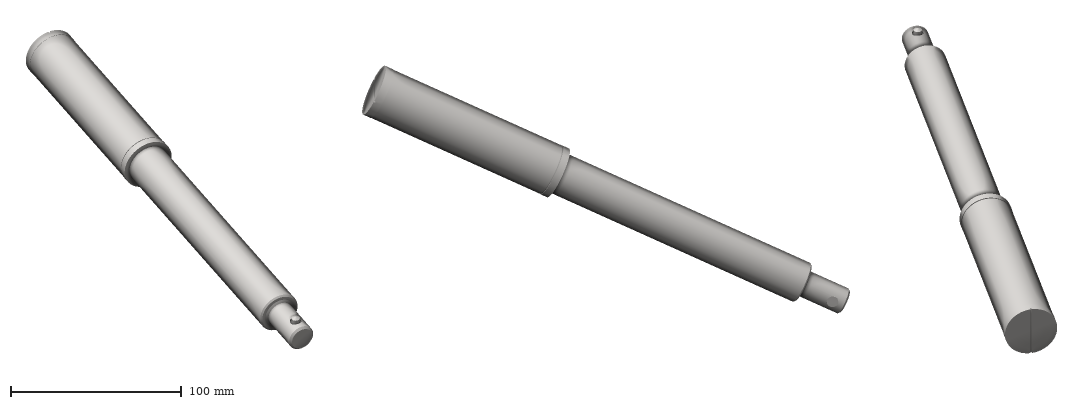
import cadquery as cq

total_length = 307.5
handle_length = 120.3
cap_length = 5.0
tube_end = 280.2

cap_diameter = 31.5
grip_diameter = 31.0
collar_groove_diameter = 30.0
tube_diameter = 25.0
shoulder_diameter = 19.0
spigot_diameter = 16.0

collar_groove_width = 0.5
tube_chamfer = 1.0
shoulder_length = 1.0
tip_chamfer = 1.2

slot_width = 1.0
slot_depth = 1.0

pin_x = 299.5
cross_hole_diameter = 6.8
pin_base_bottom = -7.7
pin_base_top = 6
pin_diameter = 5.0
pin_cone_start = 9.8
pin_tip = 11.0


def cylinder_x(start, end, diameter):
    """Solid cylinder on the X axis between two stations."""
    return cq.Workplane("YZ", origin=(start, 0, 0)).circle(diameter / 2).extrude(end - start)


def make_handle():
    """Grip with a slightly larger cap at each end, a groove at the collar and a slotted end face."""
    collar_start = handle_length - cap_length
    groove_end = collar_start + collar_groove_width
    end_cap = cylinder_x(0, cap_length, cap_diameter)
    grip = cylinder_x(0, collar_start, grip_diameter)
    groove_floor = cylinder_x(collar_start, groove_end, collar_groove_diameter)
    collar = cylinder_x(groove_end, handle_length, cap_diameter)
    slot = cq.Workplane("XY").box(2 * slot_depth, slot_width, 2 * cap_diameter)
    return grip.union(end_cap).union(groove_floor).union(collar).cut(slot)


def make_tube():
    """Long shaft in front of the handle, chamfered at its far end."""
    return cylinder_x(handle_length, tube_end, tube_diameter).faces(">X").chamfer(tube_chamfer)


def make_spigot():
    """Slim end piece with a tapered shoulder, a chamfered tip and a cross hole along Z."""
    spigot = cylinder_x(tube_end, total_length, spigot_diameter).faces(">X").chamfer(tip_chamfer)
    shoulder = (
        cq.Workplane("YZ", origin=(tube_end, 0, 0))
        .circle(shoulder_diameter / 2)
        .workplane(offset=shoulder_length)
        .circle(spigot_diameter / 2)
        .loft()
    )
    cross_hole = (
        cq.Workplane("XY")
        .center(pin_x, 0)
        .circle(cross_hole_diameter / 2)
        .extrude(spigot_diameter, both=True)
    )
    return spigot.union(shoulder).cut(cross_hole)


def make_pin():
    """Pin whose base fills the cross hole and whose slimmer, cone-tipped end stands out on +Z."""
    base_radius = cross_hole_diameter / 2
    pin_radius = pin_diameter / 2
    half_section = [
        (0, pin_base_bottom),
        (base_radius, pin_base_bottom),
        (base_radius, pin_base_top),
        (pin_radius, pin_base_top),
        (pin_radius, pin_cone_start),
        (0, pin_tip),
    ]
    return (
        cq.Workplane("XZ", origin=(pin_x, 0, 0))
        .polyline(half_section)
        .close()
        .revolve(360, (0, 0, 0), (0, 1, 0))
    )


result = make_handle().union(make_tube()).union(make_spigot()).union(make_pin())